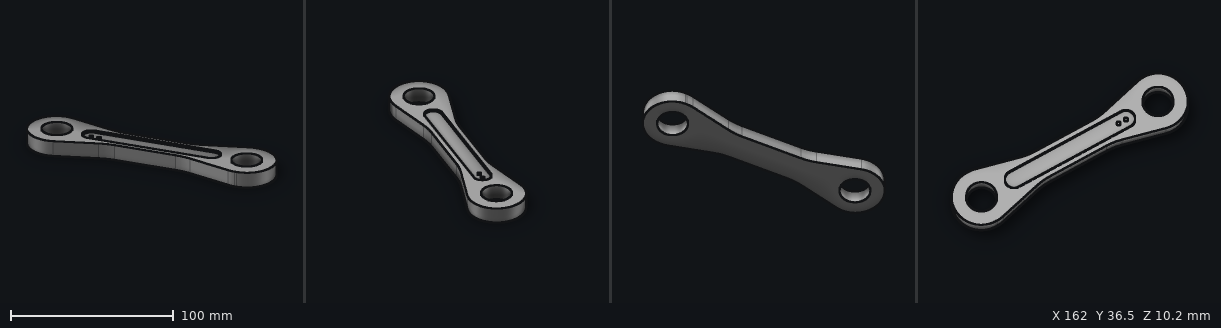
import cadquery as cq
import math

length = 162.0
lug_width = 36.5
thickness = 10.2

lug_radius = lug_width / 2
lug_center = length / 2 - lug_radius
right_lug_stretch = 1.1
bore_diameter = 19.0
bore_spacing = 125.0
bore_count = 2

neck_half_width = 9.4
left_corner_x = -26.0
right_corner_x = 24.5
neck_blend_radius = 40.5

pocket_left = -45.5
pocket_right = 45.2
pocket_width = 11.3
pocket_depth = 1.5

dimple_diameter = 2.5
dimple_left_x = -39.9
dimple_pitch = 5.2
dimple_count = 2
dimple_depth = 0.5


def taper_tangent(corner_x, center_x):
    """Point where the taper from a neck corner touches the lug circle (upper side)."""
    run = abs(center_x - corner_x)
    reach = math.hypot(run, neck_half_width)
    slope = math.asin(lug_radius / reach) - math.atan2(neck_half_width, run)
    toward_neck = math.copysign(1, corner_x - center_x)
    tangent_x = center_x + toward_neck * lug_radius * math.sin(slope)
    return tangent_x, lug_radius * math.cos(slope)


def mirrored(point):
    return point[0], -point[1]


def slot_body(x_start, x_end, width, height, z_bottom):
    """Round-ended bar lying along X."""
    return (
        cq.Workplane("XY", origin=((x_start + x_end) / 2, 0, z_bottom))
        .slot2D(x_end - x_start, width)
        .extrude(height)
    )


def tapered_web():
    """Neck and both tapers, reaching the tangent points of the lugs."""
    upper = [
        taper_tangent(left_corner_x, -lug_center),
        (left_corner_x, neck_half_width),
        (right_corner_x, neck_half_width),
        taper_tangent(right_corner_x, lug_center - right_lug_stretch),
    ]
    lower = [mirrored(point) for point in reversed(upper)]
    web = cq.Workplane("XY").polyline(upper + lower).close().extrude(thickness)
    blend_zone = cq.selectors.BoxSelector(
        (left_corner_x - 1.6, -lug_radius, -1.6),
        (right_corner_x + 1.6, lug_radius, thickness + 1.6),
    )
    return web.edges("|Z").edges(blend_zone).fillet(neck_blend_radius)


left_lug = cq.Workplane("XY").center(-lug_center, 0).circle(lug_radius).extrude(thickness)
right_lug_start = length / 2 - lug_width - right_lug_stretch
right_lug = slot_body(right_lug_start, length / 2, lug_width, thickness, 0)
plate = tapered_web().union(left_lug).union(right_lug)

bores = (
    cq.Workplane("XY")
    .rarray(bore_spacing, 1.6, bore_count, 1)
    .circle(bore_diameter / 2)
    .extrude(thickness)
)

pocket_floor = thickness - pocket_depth
pocket = slot_body(pocket_left, pocket_right, pocket_width, pocket_depth, pocket_floor)
dimples = (
    cq.Workplane("XY", origin=(0, 0, pocket_floor))
    .pushPoints([(dimple_left_x + i * dimple_pitch, 0) for i in range(dimple_count)])
    .circle(dimple_diameter / 2)
    .extrude(-dimple_depth)
)

result = plate.cut(bores).cut(pocket).cut(dimples)